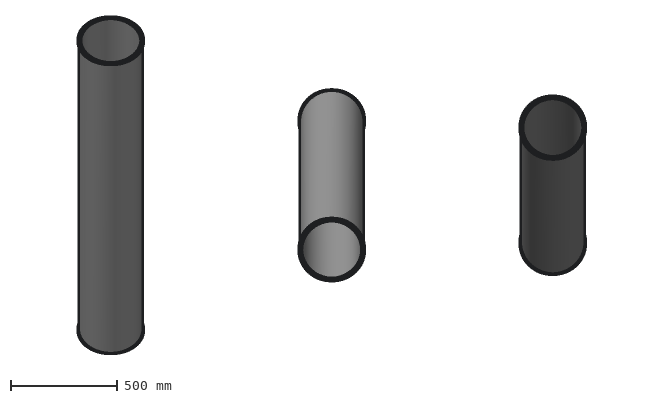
import cadquery as cq

length = 1988.0
bore_diameter = 278.0
liner_diameter = 298.0
shell_diameter = 302.0
flange_diameter = 315.0

sheet_thickness = (shell_diameter - liner_diameter) / 2


def ring(outer_diameter, inner_diameter, height, base_z):
    """Upright round ring, centred on the Z axis, standing on base_z."""
    return (
        cq.Workplane("XY")
        .workplane(offset=base_z)
        .circle(outer_diameter / 2)
        .circle(inner_diameter / 2)
        .extrude(height)
    )


def make_shell():
    """Thin outer tube with an outward flange at each end."""
    shell = ring(shell_diameter, liner_diameter, length, 0)
    for flange_base in (0, length - sheet_thickness):
        shell = shell.union(ring(flange_diameter, liner_diameter, sheet_thickness, flange_base))
    return shell


def make_liner():
    """Thick inner sleeve that fills the shell over its full length."""
    return ring(liner_diameter, bore_diameter, length, 0)


shell = make_shell()
liner = make_liner()

result = cq.Compound.makeCompound([shell.val(), liner.val()])